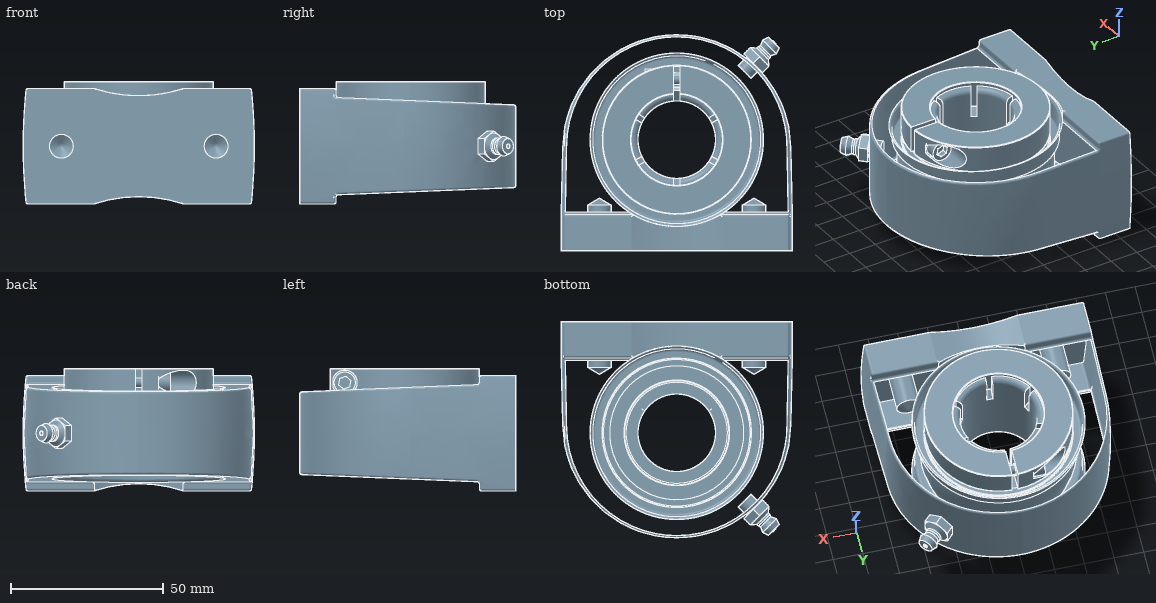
import cadquery as cq
import math


MOUNT_HEIGHT = 36.5
BASE_LENGTH = 76.0
BASE_WIDTH = 38.0
BASE_THICKNESS = 12.0
SHOULDER_Y = BASE_THICKNESS - MOUNT_HEIGHT
CROWN_TOP = 34.5
CROWN_HALF_WIDTH = 37.5
CROWN_START = -2.1
BARREL = 1.0
BODY_HALF_DEPTH_BASE = 16.0
BODY_HALF_DEPTH_CROWN = 13.6
EDGE_FILLET = 0.8
SCALLOP_HALF_WIDTH = 14.8
SCALLOP_DEPTH = 2.4
BOLT_SPACING = 50.8
BOLT_HOLE_DIA = 7.8
BOLT_HOLE_DEPTH = 15.0
DRILL_POINT_ANGLE = 118.0

SPHERE_RADIUS = 26.0
RING_HALF_WIDTH = 8.8
ENTRY_RADIUS = 55.14 / 2
ENTRY_FLOOR_FILLET = 1.0
ENTRY_LIP_FILLET = 0.95
LIP_EDGE_STEP = 0.02
ENTRY_FLARE_RADIUS = ENTRY_RADIUS + ENTRY_LIP_FILLET - LIP_EDGE_STEP
OUTER_RING_CHAMFER = 0.4
OUTER_RING_BORE_RADIUS = 44.0 / 2
SEAL_INNER_RADIUS = 34.73 / 2
SEAL_THICKNESS = 2.0

BORE_RADIUS = 25.4 / 2
SHOULDER_RADIUS = 34.23 / 2
SHOULDER_HEIGHT = 11.7
SHOULDER_CHAMFER = 0.5
RACE_RADIUS = 18.0
RACE_HALF_WIDTH = 6.0
NECK_RADIUS = 15.0
NECK_TOP = 19.8
BORE_MOUTH_RADIUS = 2.0
SLOT_COUNT = 6
SLOT_WIDTH = 2.0
SLOT_BOTTOM = 9.4
SLOT_RUNOUT_RADIUS = 16.1

COLLAR_RADIUS = 24.5
COLLAR_TOP = 21.3
COLLAR_CHAMFER = 0.2
SCREW_Y = 19.7
SCREW_Z = 16.6
HEAD_FACE_X = -10.5
HEAD_LENGTH = 4.0
HEAD_DIA = 7.0
COUNTERBORE_DIA = 8.2
CLEARANCE_DIA = 4.0
SHANK_DIA = 3.24
SHANK_END_X = 9.0
SOCKET_FLATS = 3.7
SOCKET_DEPTH = 2.0
SOCKET_TURN = 20.0
HEX_CORNER_RATIO = 2 / math.sqrt(3)

NIPPLE_ANGLE = 45.0
THREAD_DIA = 6.0
THREAD_START = 31.5
HEX_START = 35.5
HEX_END = 38.5
HEX_FLATS = 8.7
CONE_END = 39.9
STEM_END = 40.6
STEM_DIA = 5.4
NECK_POSITION = 41.3
NECK_DIA = 4.8
NIPPLE_HEAD_WIDEST = 43.1
NIPPLE_HEAD_DIA = 6.4
NIPPLE_HEAD_END = 45.1
NIPPLE_HEAD_END_DIA = 5.1
TIP_END = 45.3
TIP_DIA = 1.48


def disc(radius, bottom, top):
    return cq.Workplane("XY", origin=(0, 0, bottom)).circle(radius).extrude(top - bottom)


def cylinder_between(diameter, start, end):
    return cq.Workplane("YZ", origin=(start, 0, 0)).circle(diameter / 2).extrude(end - start)


def along_nipple_axis(shape):
    """Turn a shape built along +X to the direction of the grease nipple."""
    return shape.rotate((0, 0, 0), (0, 0, 1), NIPPLE_ANGLE)


def housing_outline(inset):
    """Arch over a straight-sided base, with the side walls drawn in by the given inset."""
    base_x = BASE_LENGTH / 2 - inset
    crown_x = CROWN_HALF_WIDTH - inset
    rise = CROWN_TOP - CROWN_START
    crown_radius = (crown_x**2 + rise**2) / (2 * rise)
    crown_centre_y = CROWN_TOP - crown_radius
    half_sweep = math.atan2(crown_x, CROWN_START - crown_centre_y) / 2
    quarter_x = crown_radius * math.sin(half_sweep)
    quarter_y = crown_centre_y + crown_radius * math.cos(half_sweep)
    return (
        cq.Workplane("XY")
        .moveTo(-base_x, -MOUNT_HEIGHT)
        .lineTo(base_x, -MOUNT_HEIGHT)
        .lineTo(base_x, SHOULDER_Y)
        .lineTo(crown_x, CROWN_START)
        .threePointArc((quarter_x, quarter_y), (0, CROWN_TOP))
        .threePointArc((-quarter_x, quarter_y), (-crown_x, CROWN_START))
        .lineTo(-base_x, SHOULDER_Y)
        .close()
        .wire()
        .val()
    )


def barrelled_block():
    half = BASE_WIDTH / 2
    sections = [
        housing_outline(inset).translate(cq.Vector(0, 0, z))
        for z, inset in ((-half, BARREL), (0, 0), (half, BARREL))
    ]
    return cq.Workplane(cq.Solid.makeLoft(sections))


def tapered_wedge():
    """Endless plate whose faces are the two tapered faces of the round body."""
    slope = (BODY_HALF_DEPTH_BASE - BODY_HALF_DEPTH_CROWN) / (CROWN_TOP - SHOULDER_Y)
    reach = 2 * BASE_LENGTH
    near_z = BODY_HALF_DEPTH_BASE + slope * (reach + SHOULDER_Y)
    far_z = BODY_HALF_DEPTH_BASE - slope * (reach - SHOULDER_Y)
    return (
        cq.Workplane("YZ")
        .polyline([(-reach, -near_z), (reach, -far_z), (reach, far_z), (-reach, near_z)])
        .close()
        .extrude(reach, both=True)
    )


def truncated_sphere():
    """Spherical band shared by the outer ring and its seat."""
    band = disc(SPHERE_RADIUS, -RING_HALF_WIDTH, RING_HALF_WIDTH)
    return cq.Workplane("XY").sphere(SPHERE_RADIUS).intersect(band)


def seat_entry():
    """Round opening through both tapered faces, with a rounded lip, down to the seat land."""
    half = BASE_WIDTH / 2
    lip = tapered_wedge().cut(disc(ENTRY_RADIUS, -half, half))
    lip = lip.edges("%ELLIPSE").fillet(ENTRY_LIP_FILLET)
    land = disc(SPHERE_RADIUS + ENTRY_RADIUS, -RING_HALF_WIDTH, RING_HALF_WIDTH)
    entry = disc(ENTRY_FLARE_RADIUS, -half, half).cut(lip).cut(land)
    land_faces = [
        face for face in entry.faces("|Z").vals()
        if abs(face.Center().z) < BODY_HALF_DEPTH_CROWN
    ]
    return entry.newObject(land_faces).edges().fillet(ENTRY_FLOOR_FILLET)


def make_housing():
    half = BASE_WIDTH / 2
    housing = barrelled_block()

    behind_shoulder = cq.Workplane("XY").box(
        2 * BASE_LENGTH, 2 * BASE_LENGTH, 2 * BASE_WIDTH, centered=(True, False, True)
    ).translate((0, SHOULDER_Y, 0))
    housing = housing.cut(behind_shoulder.cut(tapered_wedge()))

    rim = [
        edge for edge in housing.edges().vals()
        if abs(edge.Center().z) > BODY_HALF_DEPTH_CROWN - EDGE_FILLET
        and edge.Center().y > EDGE_FILLET - MOUNT_HEIGHT
    ]
    housing = housing.newObject(rim).fillet(EDGE_FILLET)

    scallop_radius = (SCALLOP_HALF_WIDTH**2 + SCALLOP_DEPTH**2) / (2 * SCALLOP_DEPTH)
    scallop_z = half - SCALLOP_DEPTH + scallop_radius
    scallops = (
        cq.Workplane("XZ", origin=(0, -MOUNT_HEIGHT, 0))
        .pushPoints([(0, scallop_z), (0, -scallop_z)])
        .circle(scallop_radius)
        .extrude(-MOUNT_HEIGHT)
    )
    housing = housing.cut(scallops)

    housing = housing.cut(seat_entry()).cut(truncated_sphere())

    radius = BOLT_HOLE_DIA / 2
    point_depth = radius / math.tan(math.radians(DRILL_POINT_ANGLE / 2))
    for x in (-BOLT_SPACING / 2, BOLT_SPACING / 2):
        drill = (
            cq.Workplane("XY")
            .polyline([
                (0, 0), (radius, 0), (radius, BOLT_HOLE_DEPTH), (0, BOLT_HOLE_DEPTH + point_depth),
            ])
            .close()
            .revolve(360, (0, 0), (0, 1))
            .translate((x, -MOUNT_HEIGHT, 0))
        )
        housing = housing.cut(drill)
    return housing.cut(along_nipple_axis(cylinder_between(THREAD_DIA, THREAD_START, BASE_LENGTH)))


def make_outer_ring():
    ring = truncated_sphere().faces("|Z").edges().chamfer(OUTER_RING_CHAMFER)
    return ring.cut(disc(OUTER_RING_BORE_RADIUS, -RING_HALF_WIDTH, RING_HALF_WIDTH))


def make_seal(side):
    """Seal washer in the outer ring bore, flush with its +Z (1) or -Z (-1) face."""
    return (
        cq.Workplane("XY", origin=(0, 0, side * RING_HALF_WIDTH))
        .circle(OUTER_RING_BORE_RADIUS)
        .circle(SEAL_INNER_RADIUS)
        .extrude(-side * SEAL_THICKNESS)
    )


def make_inner_ring():
    chamfer_radius = SHOULDER_RADIUS - SHOULDER_CHAMFER
    chamfer_z = SHOULDER_HEIGHT - SHOULDER_CHAMFER
    round_start = BORE_RADIUS + BORE_MOUTH_RADIUS
    round_45 = BORE_MOUTH_RADIUS * (1 - math.sqrt(0.5))
    ring = (
        cq.Workplane("XZ")
        .moveTo(BORE_RADIUS, -SHOULDER_HEIGHT)
        .lineTo(chamfer_radius, -SHOULDER_HEIGHT)
        .lineTo(SHOULDER_RADIUS, -chamfer_z)
        .lineTo(SHOULDER_RADIUS, -RACE_HALF_WIDTH)
        .lineTo(RACE_RADIUS, -RACE_HALF_WIDTH)
        .lineTo(RACE_RADIUS, RACE_HALF_WIDTH)
        .lineTo(SHOULDER_RADIUS, RACE_HALF_WIDTH)
        .lineTo(SHOULDER_RADIUS, chamfer_z)
        .lineTo(chamfer_radius, SHOULDER_HEIGHT)
        .lineTo(NECK_RADIUS, SHOULDER_HEIGHT)
        .lineTo(NECK_RADIUS, NECK_TOP)
        .lineTo(round_start, NECK_TOP)
        .threePointArc(
            (BORE_RADIUS + round_45, NECK_TOP - round_45),
            (BORE_RADIUS, NECK_TOP - BORE_MOUTH_RADIUS),
        )
        .close()
        .revolve(360, (0, 0), (0, 1))
    )
    slope = (SHOULDER_HEIGHT - SLOT_BOTTOM) / (SLOT_RUNOUT_RADIUS - BORE_RADIUS)
    slot = (
        cq.Workplane("YZ")
        .polyline([
            (0, SLOT_BOTTOM - slope * BORE_RADIUS),
            (SLOT_RUNOUT_RADIUS, SHOULDER_HEIGHT),
            (SLOT_RUNOUT_RADIUS, COLLAR_TOP),
            (0, COLLAR_TOP),
        ])
        .close()
        .extrude(SLOT_WIDTH / 2, both=True)
    )
    for i in range(SLOT_COUNT):
        ring = ring.cut(slot.rotate((0, 0, 0), (0, 0, 1), i * 360 / SLOT_COUNT))
    return ring


def screw_cylinder(diameter, start, end):
    return cylinder_between(diameter, start, end).translate((0, SCREW_Y, SCREW_Z))


def make_collar():
    collar = (
        cq.Workplane("XY", origin=(0, 0, SHOULDER_HEIGHT))
        .circle(COLLAR_RADIUS)
        .circle(NECK_RADIUS)
        .extrude(COLLAR_TOP - SHOULDER_HEIGHT)
        .faces("|Z")
        .edges()
        .chamfer(COLLAR_CHAMFER)
    )
    slit = cq.Workplane("XY").box(
        SLOT_WIDTH, 2 * COLLAR_RADIUS, 2 * COLLAR_TOP, centered=(True, False, False)
    )
    head_seat_x = HEAD_FACE_X + HEAD_LENGTH
    return (
        collar.cut(slit)
        .cut(screw_cylinder(COUNTERBORE_DIA, -COLLAR_RADIUS, head_seat_x))
        .cut(screw_cylinder(CLEARANCE_DIA, head_seat_x, 0))
        .cut(screw_cylinder(SHANK_DIA, 0, SHANK_END_X))
    )


def make_screw():
    head_seat_x = HEAD_FACE_X + HEAD_LENGTH
    socket = (
        cq.Workplane("YZ")
        .polygon(6, SOCKET_FLATS * HEX_CORNER_RATIO)
        .extrude(SOCKET_DEPTH)
        .rotate((0, 0, 0), (1, 0, 0), -SOCKET_TURN)
        .translate((HEAD_FACE_X, SCREW_Y, SCREW_Z))
    )
    return (
        screw_cylinder(HEAD_DIA, HEAD_FACE_X, head_seat_x)
        .union(screw_cylinder(SHANK_DIA, head_seat_x, SHANK_END_X))
        .cut(socket)
    )


def make_nipple():
    """Hexagon with a stepped, turned nose, standing out of the crown."""
    nose = (
        cq.Workplane("XY")
        .polyline([
            (HEX_START, 0),
            (HEX_START, HEX_FLATS / 2),
            (HEX_END, HEX_FLATS / 2),
            (CONE_END, STEM_DIA / 2),
            (STEM_END, STEM_DIA / 2),
            (NECK_POSITION, NECK_DIA / 2),
            (NIPPLE_HEAD_WIDEST, NIPPLE_HEAD_DIA / 2),
            (NIPPLE_HEAD_END, NIPPLE_HEAD_END_DIA / 2),
            (NIPPLE_HEAD_END, TIP_DIA / 2),
            (TIP_END, TIP_DIA / 2),
            (TIP_END, 0),
        ])
        .close()
        .revolve(360, (0, 0), (1, 0))
    )
    hexagon = (
        cq.Workplane("YZ", origin=(HEX_START, 0, 0))
        .polygon(6, HEX_FLATS * HEX_CORNER_RATIO)
        .extrude(HEX_END - HEX_START)
        .rotate((0, 0, 0), (1, 0, 0), 90)
    )
    thread = cylinder_between(THREAD_DIA, THREAD_START, HEX_START)
    return along_nipple_axis(nose.union(hexagon).union(thread))


housing = make_housing()
outer_ring = make_outer_ring()
seals = [make_seal(side) for side in (1, -1)]
inner_ring = make_inner_ring()
collar = make_collar()
screw = make_screw()
nipple = make_nipple()

result = cq.Compound.makeCompound([
    housing.val(),
    outer_ring.val(),
    *[seal.val() for seal in seals],
    inner_ring.val(),
    collar.val(),
    screw.val(),
    nipple.val(),
])